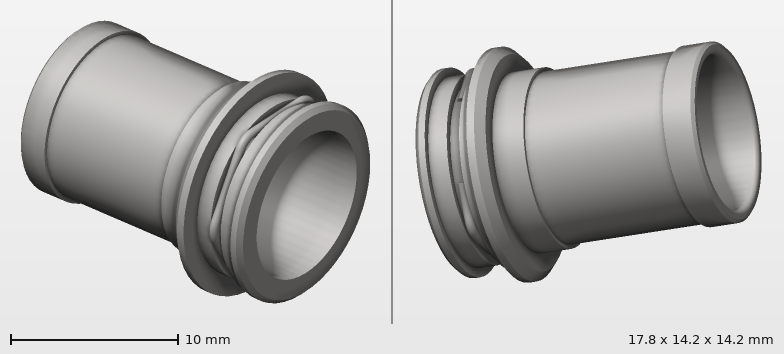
import cadquery as cq
import math

LENGTH = 17.75
BORE_RADIUS = 4.75
TUBE_RADIUS = 5.25

COLLAR_RADIUS = 5.5
COLLAR_LENGTH = 2.0
COLLAR_CHAMFER = 0.2
BORE_ROUND = 0.3

FLANGE_RADIUS = 7.115
FLANGE_START = 13.0
FLANGE_WIDTH = 1.03
FLANGE_CHAMFER = 0.53

NECK_RADIUS = 5.8
GROOVE_START = 15.03
GROOVE_WIDTH = 0.8

LIP_RADIUS = 6.35
LIP_WIDTH = 0.72
LIP_CHAMFER = 0.31

WIRE_RADIUS = 0.3
WIRE_X = 15.35
CLIP_APOTHEM = COLLAR_RADIUS - WIRE_RADIUS
BEND_RADIUS = 1.2
CLIP_SIDES = 6


def ring(start, width, radius):
    """Solid disc on the X axis."""
    return cq.Workplane("YZ", origin=(start, 0, 0)).circle(radius).extrude(width)


def make_body():
    """Stepped sleeve with flange, groove, lip and through bore."""
    lip_start = LENGTH - LIP_WIDTH
    flange_end = FLANGE_START + FLANGE_WIDTH
    groove_end = GROOVE_START + GROOVE_WIDTH

    hose_collar = ring(0, COLLAR_LENGTH, COLLAR_RADIUS).faces("<X").chamfer(COLLAR_CHAMFER)
    flange_collar = ring(FLANGE_START - COLLAR_LENGTH, COLLAR_LENGTH, COLLAR_RADIUS)
    flange = ring(FLANGE_START, FLANGE_WIDTH, FLANGE_RADIUS).faces("<X").chamfer(FLANGE_CHAMFER)
    inner_neck = ring(flange_end, GROOVE_START - flange_end, NECK_RADIUS)
    outer_neck = ring(groove_end, lip_start - groove_end, NECK_RADIUS)
    lip = ring(lip_start, LIP_WIDTH, LIP_RADIUS).faces(">X").chamfer(LIP_CHAMFER)

    body = ring(COLLAR_LENGTH, lip_start - COLLAR_LENGTH, TUBE_RADIUS)
    for step in (hose_collar, flange_collar, flange, inner_neck, outer_neck, lip):
        body = body.union(step)
    body = body.cut(ring(0, LENGTH, BORE_RADIUS))
    bore_mouth = cq.selectors.RadiusNthSelector(0)
    return body.faces("<X").edges(bore_mouth).fillet(BORE_ROUND)


def polar(radius, angle, center=(0, 0)):
    """Point in the (Y, Z) plane at an angle in radians from +Y."""
    return (center[0] + radius * math.cos(angle), center[1] + radius * math.sin(angle))


def make_clip():
    """Wire swept around the hexagon, from mid-side to mid-side across the gap."""
    corner_step = 2 * math.pi / CLIP_SIDES
    half_step = corner_step / 2
    bend_center_distance = (CLIP_APOTHEM - BEND_RADIUS) / math.cos(half_step)

    path = cq.Workplane("YZ", origin=(WIRE_X, 0, 0)).moveTo(*polar(CLIP_APOTHEM, half_step))
    for corner in range(1, CLIP_SIDES):
        angle = corner * corner_step
        center = polar(bend_center_distance, angle)
        bend_start = polar(BEND_RADIUS, angle - half_step, center)
        bend_middle = polar(BEND_RADIUS, angle, center)
        bend_end = polar(BEND_RADIUS, angle + half_step, center)
        path = path.lineTo(*bend_start).threePointArc(bend_middle, bend_end)
    path = path.lineTo(*polar(CLIP_APOTHEM, -half_step))

    start_y, start_z = polar(CLIP_APOTHEM, half_step)
    wire_plane = cq.Plane(
        origin=(WIRE_X, start_y, start_z),
        xDir=(0, math.cos(half_step), math.sin(half_step)),
        normal=(0, -math.sin(half_step), math.cos(half_step)),
    )
    return cq.Workplane(wire_plane).circle(WIRE_RADIUS).sweep(path)


result = make_body().union(make_clip())